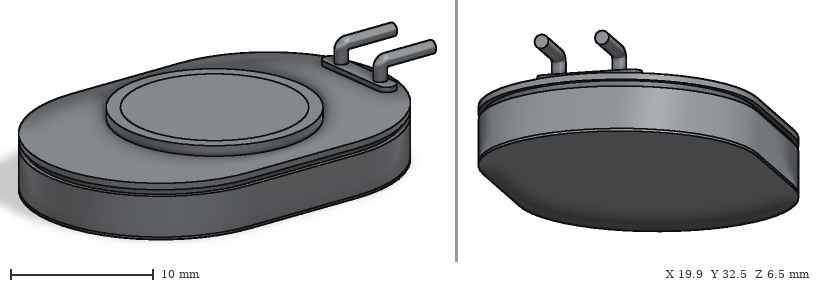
import cadquery as cq

body_width = 19.9
body_length = 29.58
neck_inset = 0.4

base_top = 0.2
housing_shoulder = 3.25
neck_top = 3.75
lid_top = 4.22
ring_top = 5.0
overall_height = 6.5

ring_diameter = 15.2
disc_diameter = 13.2

pad_length = 7.57
pad_width = 1.45
pad_thickness = 0.4
pad_y = 12.97
wire_diameter = 1.0
wire_spacing = 4.4
bend_radius = 0.52
wire_y = 13.1
overall_length = 32.5

wire_radius = wire_diameter / 2
pad_top = lid_top + pad_thickness
wire_axis_z = overall_height - wire_radius
wire_end_y = overall_length - body_length / 2
bend_start_z = wire_axis_z - bend_radius
bend_end_y = wire_y + bend_radius


def stadium(length, width, bottom, top):
    """Upright stadium prism with its length along X."""
    return cq.Workplane("XY").workplane(offset=bottom).slot2D(length, width).extrude(top - bottom)


def body_layer(bottom, top, inset=0.0):
    """One layer of the body, its outline drawn in by the inset."""
    length = body_length - 2 * inset
    width = body_width - 2 * inset
    return stadium(length, width, bottom, top).rotate((0, 0, 0), (0, 0, 1), 90)


def make_base_plate():
    return body_layer(0, base_top)


def make_housing():
    """Main block with a set-back neck that carries the lid."""
    block = body_layer(base_top, housing_shoulder)
    neck = body_layer(housing_shoulder, neck_top, neck_inset)
    return block.union(neck)


def make_lid():
    return body_layer(neck_top, lid_top)


def make_contact_disc():
    return cq.Workplane("XY").workplane(offset=lid_top).circle(disc_diameter / 2).extrude(ring_top - lid_top)


def make_contact_ring():
    """Ring that closely surrounds the contact disc."""
    profile = cq.Workplane("XY").workplane(offset=lid_top).circle(ring_diameter / 2).circle(disc_diameter / 2)
    return profile.extrude(ring_top - lid_top)


def make_terminal_pad():
    return stadium(pad_length, pad_width, lid_top, pad_top).translate((0, pad_y, 0))


def make_wire(x):
    """Wire that rises from the pad, turns a quarter circle and runs out along +Y."""
    riser_base = cq.Workplane("XY", origin=(x, wire_y, pad_top))
    riser = riser_base.circle(wire_radius).extrude(bend_start_z - pad_top)
    bend_base = cq.Workplane("XY", origin=(x, wire_y, bend_start_z))
    bend = bend_base.circle(wire_radius).revolve(90, (0, bend_radius), (-1, bend_radius))
    run_base = cq.Workplane("XZ", origin=(x, bend_end_y, wire_axis_z))
    run = run_base.circle(wire_radius).extrude(bend_end_y - wire_end_y)
    return riser.union(bend).union(run)


base_plate = make_base_plate()
housing = make_housing()
lid = make_lid()
contact_disc = make_contact_disc()
contact_ring = make_contact_ring()
terminal_pad = make_terminal_pad()
wires = [make_wire(side * wire_spacing / 2) for side in (-1, 1)]

result = cq.Compound.makeCompound([
    base_plate.val(),
    housing.solids().val(),
    lid.val(),
    contact_disc.val(),
    contact_ring.val(),
    terminal_pad.val(),
    *[wire.solids().val() for wire in wires],
])